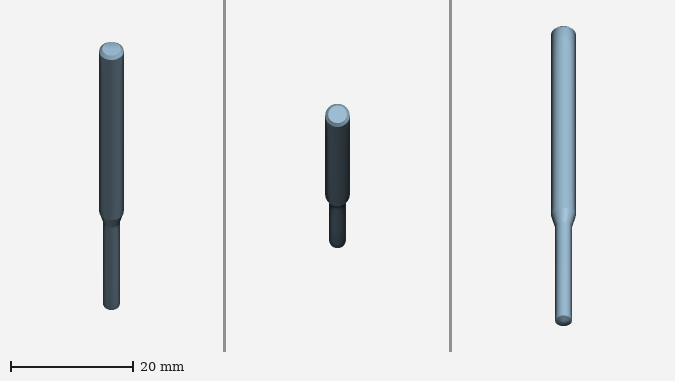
import cadquery as cq
import math

total_length = 62.0
shank_diameter = 4.0
drill_diameter = 2.7
point_angle = 140.0
drill_length = 17.6
neck_top = 20.45
taper_top = 22.9
neck_blend_radius = 1.35
end_chamfer = 0.5

shank_radius = shank_diameter / 2
drill_radius = drill_diameter / 2
point_height = drill_radius / math.tan(math.radians(point_angle / 2))

taper_angle = math.atan2(shank_radius - drill_radius, taper_top - neck_top)
blend_tangent = neck_blend_radius * math.tan(taper_angle / 2)


def blend_point(angle):
    """Point on the blend arc (radius, height) where its tangent leans outward by angle."""
    return (
        drill_radius + neck_blend_radius * (1 - math.cos(angle)),
        neck_top - blend_tangent + neck_blend_radius * math.sin(angle),
    )


def make_drill():
    """Cylindrical cutting part with a conical point, tip at the origin."""
    profile = (
        cq.Workplane("XZ")
        .moveTo(0, 0)
        .lineTo(drill_radius, point_height)
        .lineTo(drill_radius, drill_length)
        .lineTo(0, drill_length)
        .close()
    )
    return profile.revolve(360, (0, 0), (0, 1))


def make_shank():
    """Neck, blended taper and cylindrical shank with a chamfered end."""
    profile = (
        cq.Workplane("XZ")
        .moveTo(0, drill_length)
        .lineTo(drill_radius, drill_length)
        .lineTo(*blend_point(0))
        .threePointArc(blend_point(taper_angle / 2), blend_point(taper_angle))
        .lineTo(shank_radius, taper_top)
        .lineTo(shank_radius, total_length - end_chamfer)
        .lineTo(shank_radius - end_chamfer, total_length)
        .lineTo(0, total_length)
        .close()
    )
    return profile.revolve(360, (0, 0), (0, 1))


drill = make_drill()
shank = make_shank()

result = cq.Compound.makeCompound([drill.val(), shank.val()])